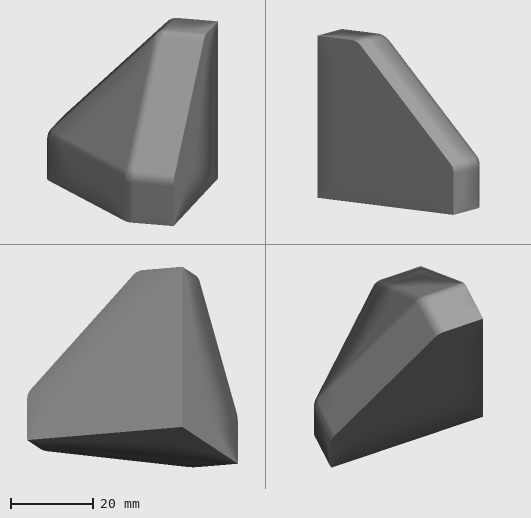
import cadquery as cq


leg_length = 40.0
end_side = 11.65
edge_radius = 3.45

corner = cq.Vector(leg_length, leg_length, 0)
leg_x = cq.Vector(-1, 0, 0)
leg_y = cq.Vector(0, -1, 0)
leg_z = cq.Vector(0, 0, 1)
outward = leg_x + leg_y + leg_z


def sloped_prism(first_leg, extrude_leg):
    """Square prism at the corner with a 45 degree slope joining the ends of two legs."""
    plane = cq.Plane(origin=corner, xDir=first_leg, normal=extrude_leg)
    outline = [
        (0, 0),
        (leg_length, 0),
        (leg_length, end_side),
        (end_side, leg_length),
        (0, leg_length),
    ]
    return cq.Workplane(plane).polyline(outline).close().extrude(leg_length)


def beyond_triangle():
    """Block beyond the triangular face, which touches the inner corner of each end face."""
    touch_point = corner + (leg_x + leg_y) * end_side + leg_z * leg_length
    plane = cq.Plane(origin=touch_point, xDir=leg_y - leg_x, normal=outward)
    cutter_side = 4 * leg_length
    return cq.Workplane(plane).rect(cutter_side, cutter_side).extrude(leg_length)


body = (
    sloped_prism(leg_x, leg_z)
    .intersect(sloped_prism(leg_y, leg_x))
    .intersect(sloped_prism(leg_z, leg_y))
    .cut(beyond_triangle())
)

outer_edges = body.edges("not (>X or >Y or <Z)")
result = outer_edges.fillet(edge_radius)